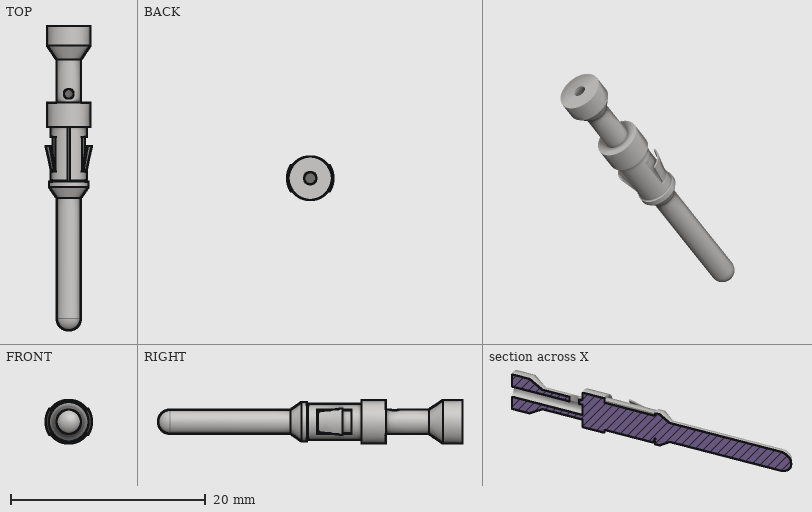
import cadquery as cq
import math

length = 31.3

pin_radius = 1.25
barrel_radius = 1.28
collar_radius = 2.25
head_radius = collar_radius
flange_radius = 2.05
core_radius = 1.7

front_cone_start = 13.6
flange_start = 14.75
flange_end = 15.3
collar_start = 20.9
collar_end = 23.4
rear_cone_start = 27.85
head_start = 29.3

sleeve_radius = 1.88
sleeve_gap = 0.13
sleeve_start = flange_end + sleeve_gap
slit_width = 0.25

window_start = 16.35
tang_start = 16.45
window_end = 19.9
window_width = 2.55
window_half_angle = math.asin(window_width / 2 / sleeve_radius)
tang_end = 18.97
tang_base_radius = 1.85
latch_span = 4.8
tang_end_radius = latch_span / 2
tang_thickness = sleeve_radius - core_radius
tang_half_angle = 35.0

bore_radius = 0.63
bore_start = collar_end
hole_radius = 0.5
hole_place = 24.32


def revolve_about_y(outline, angle=360.0):
    return outline.close().revolve(angle, (0, 0, 0), (0, 1, 0))


def tube(outer, inner, start, end):
    """Tube around the Y axis between two places."""
    ring = cq.Workplane("XZ", origin=(0, start, 0)).circle(outer).circle(inner)
    return ring.extrude(start - end)


def make_body():
    arc_share = math.sqrt(0.5)
    outline = (
        cq.Workplane("XY")
        .moveTo(0, 0)
        .threePointArc(
            (pin_radius * arc_share, pin_radius * (1 - arc_share)),
            (pin_radius, pin_radius),
        )
        .lineTo(pin_radius, front_cone_start)
        .lineTo(flange_radius, flange_start)
        .lineTo(flange_radius, flange_end)
        .lineTo(core_radius, flange_end)
        .lineTo(core_radius, collar_start)
        .lineTo(collar_radius, collar_start)
        .lineTo(collar_radius, collar_end)
        .lineTo(barrel_radius, collar_end)
        .lineTo(barrel_radius, rear_cone_start)
        .lineTo(head_radius, head_start)
        .lineTo(head_radius, length)
        .lineTo(0, length)
    )
    return revolve_about_y(outline)


def make_sleeve():
    """Thin sleeve with a slit along the top and a window on each side."""
    sleeve = tube(sleeve_radius, core_radius, sleeve_start, collar_start)
    slit = cq.Workplane("XY").box(
        slit_width, length, sleeve_radius, centered=(True, False, False)
    )
    wedge_reach = 2 * sleeve_radius * math.cos(window_half_angle)
    wedge_rise = 2 * sleeve_radius * math.sin(window_half_angle)
    windows = (
        cq.Workplane("XZ", origin=(0, window_start, 0))
        .polyline([(0, 0), (wedge_reach, wedge_rise), (wedge_reach, -wedge_rise)])
        .close()
        .polyline([(0, 0), (-wedge_reach, wedge_rise), (-wedge_reach, -wedge_rise)])
        .close()
        .extrude(window_start - window_end)
    )
    return sleeve.cut(slit).cut(windows)


def make_tang():
    """Conical strip on the +X side, rooted on the core at the tip end of the window."""
    outline = (
        cq.Workplane("XY")
        .moveTo(tang_base_radius - tang_thickness, tang_start)
        .lineTo(tang_base_radius, tang_start)
        .lineTo(tang_end_radius, tang_end)
        .lineTo(tang_end_radius - tang_thickness, tang_end)
    )
    strip = revolve_about_y(outline, 2 * tang_half_angle)
    return strip.rotate((0, 0, 0), (0, 1, 0), -tang_half_angle)


def make_bore():
    return cq.Workplane("XZ", origin=(0, bore_start, 0)).circle(bore_radius).extrude(bore_start - length)


def make_inspection_hole():
    """Hole from the top of the barrel down into the bore."""
    return cq.Workplane("XY").center(0, hole_place).circle(hole_radius).extrude(barrel_radius)


tang = make_tang()
result = make_body().union(make_sleeve())
for side_angle in (0, 180):
    result = result.union(tang.rotate((0, 0, 0), (0, 1, 0), side_angle))
result = result.cut(make_bore()).cut(make_inspection_hole())